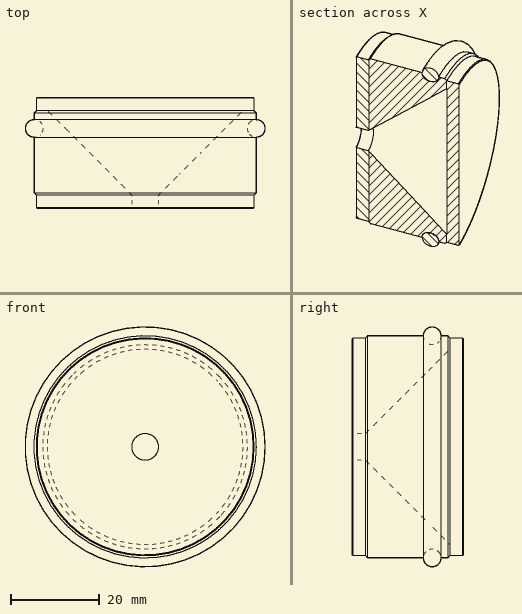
import cadquery as cq

total_length = 25.0
cap_thickness = 3.0
drum_radius = 25.0
drum_chamfer = 0.5
drum_back_wall = 3.0
cap_edge_chamfer = 0.2
hole_radius = 3.0
ring_section_radius = 2.0
ring_to_back_face = 7.0

cap_radius = drum_radius - drum_chamfer
drum_length = total_length - 2 * cap_thickness
cavity_back_radius = drum_radius - drum_back_wall
front_y = -total_length / 2
back_y = total_length / 2
drum_front_y = front_y + cap_thickness
drum_back_y = back_y - cap_thickness
ring_y = back_y - ring_to_back_face


def cylinder_along_y(radius, start_y, length):
    """Solid cylinder on the Y axis, running from start_y toward +Y."""
    return cq.Workplane("XZ", origin=(0, start_y, 0)).circle(radius).extrude(-length)


def make_sealing_ring():
    """O-ring whose section is centred on the drum's outer surface."""
    section = cq.Workplane("XY").center(drum_radius, ring_y).circle(ring_section_radius)
    return section.revolve(360, (-drum_radius, 0), (-drum_radius, 1))


def make_drum_cavity():
    """Cone through the drum, widening at 45 degrees from the cap's hole to the back wall thickness."""
    half_section = cq.Workplane("XY").polyline([
        (0, drum_front_y),
        (hole_radius, drum_front_y),
        (cavity_back_radius, drum_back_y),
        (0, drum_back_y),
    ]).close()
    return half_section.revolve(360, (0, 0), (0, 1))


def make_drum():
    """Drum with chamfered outer ends, a conical cavity and a half-round groove for the O-ring."""
    outside = cylinder_along_y(drum_radius, drum_front_y, drum_length).edges().chamfer(drum_chamfer)
    return outside.cut(make_drum_cavity()).cut(make_sealing_ring())


def make_cap(start_y, outer_face):
    """Flat disc closing one end of the drum, chamfered around its outer face."""
    disc = cylinder_along_y(cap_radius, start_y, cap_thickness)
    return disc.faces(outer_face).edges().chamfer(cap_edge_chamfer)


def make_front_cap():
    """End cap with a central through hole."""
    hole = cylinder_along_y(hole_radius, front_y, cap_thickness)
    return make_cap(front_y, "<Y").cut(hole)


def make_back_cap():
    """Plain end cap."""
    return make_cap(drum_back_y, ">Y")


drum = make_drum()
front_cap = make_front_cap()
back_cap = make_back_cap()
sealing_ring = make_sealing_ring()

result = cq.Compound.makeCompound([drum.val(), front_cap.val(), back_cap.val(), sealing_ring.val()])